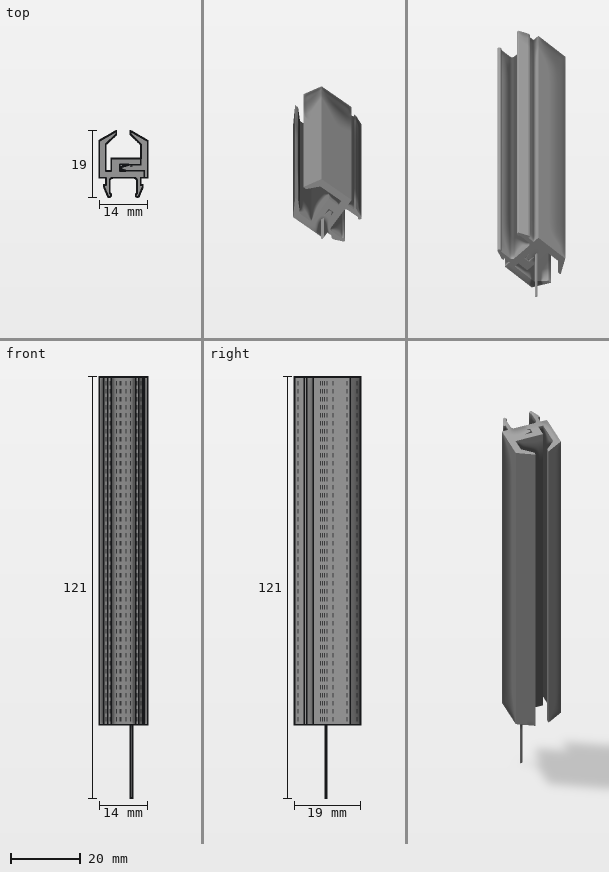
import cadquery as cq
import math

PROFILE_LENGTH = 100.0
STRIP_LENGTH = 21.0

HALF_WIDTH = 7.0
WALL_THICKNESS = 2.0
BASE_THICKNESS = 2.0
INNER_HALF_WIDTH = HALF_WIDTH - WALL_THICKNESS

LIP_HALF_GAP = 2.0
LIP_TIP_TOP = 13.54
LIP_TIP_BOTTOM = 12.5
LIP_OUTER_ANGLE = 30.0
LIP_INNER_CORNER = 9.65
LIP_OUTER_CORNER = LIP_TIP_TOP - (HALF_WIDTH - LIP_HALF_GAP) * math.tan(math.radians(LIP_OUTER_ANGLE))

ARM_LEFT = -3.5
ARM_THICKNESS = 1.8
SLOT_HEIGHT = 1.8
SLOT_LEFT = -1.0
SLOT_TOP = BASE_THICKNESS + SLOT_HEIGHT
ARM_TOP = SLOT_TOP + ARM_THICKNESS

TONGUE_TIP_GAP = 0.3
TONGUE_TIP_X = SLOT_LEFT + TONGUE_TIP_GAP
TONGUE_TIP_TOP = 3.1
TONGUE_TIP_BOTTOM = 2.5
TONGUE_UPPER_TAPER = 2.2
TONGUE_LOWER_TAPER = 1.4
SKIRT_THICKNESS = 1.0
BASE_RIGHT = HALF_WIDTH - SKIRT_THICKNESS

STRIP_LEFT = 2.0
STRIP_WIDTH = 0.73
STRIP_HEIGHT = 0.4

LEG_DEPTH = 5.5
LEG_OUTER = 5.0
LEG_INNER = 3.9
BARB_TIP_X = 5.6
BARB_ROOT_Y = -2.1
BARB_TOP_Y = -1.9
BARB_BOTTOM_Y = -2.6
FOOT_RADIUS = 0.55
FOOT_X = 4.05
FOOT_Y = FOOT_RADIUS - LEG_DEPTH
FOOT_START_ANGLE = 45.0
LEG_ROOT_RADIUS = 0.85


def wall_points(side):
    """Outer wall and lip, from the outer bottom corner to the inner lip corner."""
    return [
        (side * HALF_WIDTH, 0),
        (side * HALF_WIDTH, LIP_OUTER_CORNER),
        (side * LIP_HALF_GAP, LIP_TIP_TOP),
        (side * LIP_HALF_GAP, LIP_TIP_BOTTOM),
        (side * INNER_HALF_WIDTH, LIP_INNER_CORNER),
    ]


def snap_leg(side):
    """One barbed leg, set into the base so that it joins it solidly."""
    start_angle = math.radians(FOOT_START_ANGLE)
    foot_start_x = FOOT_X + FOOT_RADIUS * math.cos(start_angle)
    foot_start_y = FOOT_Y - FOOT_RADIUS * math.sin(start_angle)
    foot_end_y = FOOT_Y + math.sqrt(FOOT_RADIUS**2 - (FOOT_X - LEG_INNER) ** 2)
    root_middle = LEG_ROOT_RADIUS * (1 - math.sqrt(0.5))
    return (
        cq.Workplane("XY")
        .moveTo(side * (LEG_INNER - LEG_ROOT_RADIUS), BASE_THICKNESS)
        .lineTo(side * LEG_OUTER, BASE_THICKNESS)
        .lineTo(side * LEG_OUTER, BARB_ROOT_Y)
        .lineTo(side * BARB_TIP_X, BARB_TOP_Y)
        .lineTo(side * BARB_TIP_X, BARB_BOTTOM_Y)
        .lineTo(side * foot_start_x, foot_start_y)
        .threePointArc((side * (FOOT_X - FOOT_RADIUS), FOOT_Y), (side * LEG_INNER, foot_end_y))
        .lineTo(side * LEG_INNER, -LEG_ROOT_RADIUS)
        .threePointArc(
            (side * (LEG_INNER - root_middle), -root_middle),
            (side * (LEG_INNER - LEG_ROOT_RADIUS), 0),
        )
        .close()
        .extrude(PROFILE_LENGTH)
    )


def make_housing():
    """Left wall, base, hooked arm and both snap legs."""
    outline = wall_points(-1) + [
        (-INNER_HALF_WIDTH, BASE_THICKNESS),
        (ARM_LEFT, BASE_THICKNESS),
        (ARM_LEFT, ARM_TOP),
        (INNER_HALF_WIDTH, ARM_TOP),
        (INNER_HALF_WIDTH, SLOT_TOP),
        (SLOT_LEFT, SLOT_TOP),
        (SLOT_LEFT, BASE_THICKNESS),
        (BASE_RIGHT, BASE_THICKNESS),
        (BASE_RIGHT, 0),
    ]
    body = cq.Workplane("XY").polyline(outline).close().extrude(PROFILE_LENGTH)
    for side in (-1, 1):
        body = body.union(snap_leg(side))
    return body


def make_jaw():
    """Right wall with its tongue, and the strip that runs on below the tongue."""
    outline = wall_points(1) + [
        (INNER_HALF_WIDTH, SLOT_TOP),
        (TONGUE_TIP_X + TONGUE_UPPER_TAPER, SLOT_TOP),
        (TONGUE_TIP_X, TONGUE_TIP_TOP),
        (TONGUE_TIP_X, TONGUE_TIP_BOTTOM),
        (TONGUE_TIP_X + TONGUE_LOWER_TAPER, BASE_THICKNESS),
        (BASE_RIGHT, BASE_THICKNESS),
        (BASE_RIGHT, 0),
    ]
    body = cq.Workplane("XY").polyline(outline).close().extrude(PROFILE_LENGTH)

    strip_right = STRIP_LEFT + STRIP_WIDTH
    strip_bottom = SLOT_TOP - STRIP_HEIGHT
    strip_outline = [
        (STRIP_LEFT, strip_bottom),
        (strip_right, strip_bottom),
        (strip_right, SLOT_TOP),
    ]
    strip = cq.Workplane("XY").polyline(strip_outline).close().extrude(-STRIP_LENGTH)
    return body.union(strip)


housing = make_housing()
jaw = make_jaw()

result = cq.Compound.makeCompound([housing.val(), jaw.val()])